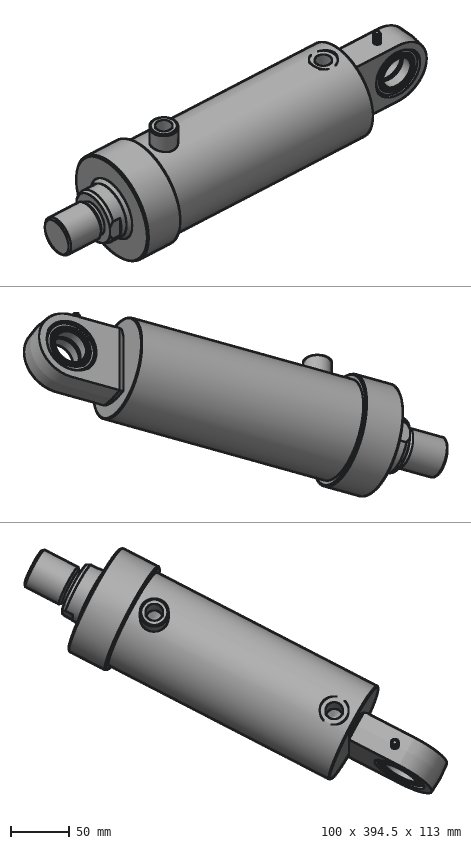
import cadquery as cq
import math


OVERALL_LENGTH = 394.5
EYE_RADIUS = 32.5
ROD_TIP = OVERALL_LENGTH - EYE_RADIUS
BARREL_START = 51.3
COLLAR_START = 265.5
COLLAR_LENGTH = 36.5
COLLAR_END = COLLAR_START + COLLAR_LENGTH
WIPER_LENGTH = 3.5
SHOULDER = 322.5
THREAD_START = 326.0

BARREL_DIAMETER = 90.0
BARREL_RADIUS = BARREL_DIAMETER / 2
BARREL_CHAMFER = 0.8
COLLAR_DIAMETER = 100.0
COLLAR_CHAMFER = 1.0
WIPER_BASE_DIAMETER = 57.2
WIPER_TIP_DIAMETER = 50.5

EYE_WIDTH = 28.0
EYE_DRAFT = 4
WELD_BEVEL_LENGTH = 4.7
WELD_BEVEL_DEPTH = 2.5
EYE_BORE = 48.0

BEARING_WIDTH = 26.0
BEARING_RING_WIDTH = 24.5
BEARING_BORE = 30.0
BEARING_BORE_CHAMFER = 0.8
BEARING_GROOVE_DIAMETER = 30.8
BEARING_GROOVE_WIDTH = 2.5
BALL_FACE_DIAMETER = 35.5
RING_BORE = 39.0
RING_GAP_DEPTH = 2.5
RING_CHAMFER = 1.5

NIPPLE_FROM_EYE = 12.0
NIPPLE_DISC_DIAMETER = 6.7
NIPPLE_STEM_DIAMETER = 3.0
NIPPLE_HEAD_DIAMETER = 4.5
NIPPLE_HEAD_LENGTH = 2.5
NIPPLE_HEIGHT = 10.5
NIPPLE_DISC = 1.0
NIPPLE_SEAT = 1.0
NIPPLE_DISC_PITCH = 3.5
NIPPLE_DISCS = 3

PORT_DIAMETER = 25.0
PORT_HOLE = 15.0
PORT_HOLE_DEPTH = 23.5
DRILL_TIP_ANGLE = 118
REAR_PORT = 70.5
REAR_PORT_FACE = 43.5
FRONT_PORT = 245.0
COLLAR_TO_PORT_TOP = 13.0
FRONT_PORT_FACE = COLLAR_DIAMETER / 2 + COLLAR_TO_PORT_TOP
PORT_CHAMFER = 1.0

ROD_DIAMETER = 50.0
SHOULDER_DIAMETER = 47.0
SHOULDER_TAPER_LENGTH = 3.5
NECK_DIAMETER = 31.5
THREAD_DIAMETER = 36.0
THREAD_CHAMFER = 1.5
THREAD_RUNOUT = (THREAD_DIAMETER - NECK_DIAMETER) / 2
FLAT_SPACING = 46.0
FLAT_LENGTH = 11.0


def rod_cylinder(diameter, start, end):
    """Cylinder on the main axis between two stations."""
    return cq.Workplane("XZ", origin=(0, -start, 0)).circle(diameter / 2).extrude(end - start)


def x_cylinder(diameter, width):
    """Cylinder along X through the eye centre, centred on the eye."""
    return cq.Workplane("YZ").circle(diameter / 2).extrude(width / 2, both=True)


def upright_cylinder(diameter, station, bottom, top):
    """Vertical cylinder over the main axis at a station."""
    return cq.Workplane("XY", origin=(0, -station, bottom)).circle(diameter / 2).extrude(top - bottom)


def barrel_and_collar():
    barrel = rod_cylinder(BARREL_DIAMETER, BARREL_START, COLLAR_START)
    barrel = barrel.faces(">Y").chamfer(BARREL_CHAMFER)
    collar = rod_cylinder(COLLAR_DIAMETER, COLLAR_START, COLLAR_END).faces("<Y or >Y").chamfer(COLLAR_CHAMFER)
    wiper = (
        cq.Workplane("XY")
        .moveTo(0, -COLLAR_END)
        .lineTo(WIPER_BASE_DIAMETER / 2, -COLLAR_END)
        .lineTo(WIPER_TIP_DIAMETER / 2, -COLLAR_END - WIPER_LENGTH)
        .lineTo(0, -COLLAR_END - WIPER_LENGTH)
        .close()
        .revolve(360, (0, 0, 0), (0, 1, 0))
    )
    return barrel.union(collar).union(wiper)


def half_lug(side):
    """Half of the drafted lug, from the middle plane toward +X (side 1) or -X (side -1)."""
    inside_barrel = -BARREL_START - BARREL_RADIUS / 2
    return (
        cq.Workplane("YZ")
        .moveTo(inside_barrel, EYE_RADIUS)
        .lineTo(0, EYE_RADIUS)
        .threePointArc((EYE_RADIUS, 0), (0, -EYE_RADIUS))
        .lineTo(inside_barrel, -EYE_RADIUS)
        .close()
        .extrude(side * EYE_WIDTH / 2, taper=EYE_DRAFT)
    )


def eye():
    """Round-ended drafted lug with a bevelled foot, bored for the bearing."""
    barrel_space = rod_cylinder(BARREL_DIAMETER, BARREL_START, COLLAR_START)
    lug = half_lug(1).union(half_lug(-1)).cut(barrel_space)
    lug = lug.faces("<Y").chamfer(WELD_BEVEL_DEPTH, WELD_BEVEL_LENGTH)
    return lug.cut(x_cylinder(EYE_BORE, EYE_WIDTH))


def grease_nipple():
    seat = EYE_RADIUS - NIPPLE_SEAT
    top = EYE_RADIUS + NIPPLE_HEIGHT
    head_bottom = top - NIPPLE_HEAD_LENGTH
    nipple = upright_cylinder(NIPPLE_STEM_DIAMETER, NIPPLE_FROM_EYE, seat, top)
    nipple = nipple.union(upright_cylinder(NIPPLE_HEAD_DIAMETER, NIPPLE_FROM_EYE, head_bottom, top))
    nipple = nipple.union(upright_cylinder(NIPPLE_DISC_DIAMETER, NIPPLE_FROM_EYE, seat, EYE_RADIUS))
    for i in range(NIPPLE_DISCS):
        bottom = EYE_RADIUS + i * NIPPLE_DISC_PITCH
        disc = upright_cylinder(NIPPLE_DISC_DIAMETER, NIPPLE_FROM_EYE, bottom, bottom + NIPPLE_DISC)
        nipple = nipple.union(disc)
    return nipple


def port_hole(station, face):
    """Blind drilled hole with a conical bottom."""
    radius = PORT_HOLE / 2
    tip = radius / math.tan(math.radians(DRILL_TIP_ANGLE / 2))
    bottom = face - PORT_HOLE_DEPTH
    return (
        cq.Workplane("XZ", origin=(0, -station, 0))
        .moveTo(0, face)
        .lineTo(radius, face)
        .lineTo(radius, bottom)
        .lineTo(0, bottom - tip)
        .close()
        .revolve(360, (0, 0, 0), (0, 1, 0))
    )


def build_housing():
    spot_face = upright_cylinder(PORT_DIAMETER, REAR_PORT, REAR_PORT_FACE, BARREL_RADIUS)
    boss = upright_cylinder(PORT_DIAMETER, FRONT_PORT, 0, FRONT_PORT_FACE).faces(">Z").chamfer(PORT_CHAMFER)
    body = barrel_and_collar().union(eye()).union(grease_nipple()).union(boss).cut(spot_face)
    body = body.cut(port_hole(REAR_PORT, REAR_PORT_FACE)).cut(port_hole(FRONT_PORT, FRONT_PORT_FACE))
    return body.cut(rod_cylinder(ROD_DIAMETER, COLLAR_START, COLLAR_END + WIPER_LENGTH))


def wrench_flats():
    """Material outside the two parallel flats at the end of the shank."""
    shank_end = rod_cylinder(ROD_DIAMETER, SHOULDER - FLAT_LENGTH, SHOULDER)
    between_flats = cq.Workplane("XY").box(FLAT_SPACING, 2 * OVERALL_LENGTH, ROD_DIAMETER)
    return shank_end.cut(between_flats)


def build_rod():
    shank = rod_cylinder(ROD_DIAMETER, COLLAR_START, SHOULDER)
    shank = shank.faces("<Y").chamfer(SHOULDER_TAPER_LENGTH, (ROD_DIAMETER - SHOULDER_DIAMETER) / 2)
    shank = shank.cut(wrench_flats())
    neck = rod_cylinder(NECK_DIAMETER, SHOULDER, THREAD_START)
    thread = rod_cylinder(THREAD_DIAMETER, THREAD_START, ROD_TIP)
    thread = thread.faces("<Y").chamfer(THREAD_CHAMFER).faces(">Y").chamfer(THREAD_RUNOUT)
    return shank.union(neck).union(thread)


def build_bearing():
    ring = x_cylinder(EYE_BORE, BEARING_RING_WIDTH).faces("<X or >X").chamfer(RING_CHAMFER)
    core = x_cylinder(RING_BORE, BEARING_RING_WIDTH - 2 * RING_GAP_DEPTH)
    gaps = x_cylinder(RING_BORE, BEARING_RING_WIDTH).cut(core)
    ball = x_cylinder(BALL_FACE_DIAMETER, BEARING_WIDTH)
    bore = x_cylinder(BEARING_BORE, BEARING_WIDTH)
    groove = x_cylinder(BEARING_GROOVE_DIAMETER, BEARING_GROOVE_WIDTH)
    inner = ball.cut(bore).faces("<X or >X").edges("%CIRCLE").chamfer(BEARING_BORE_CHAMFER)
    return ring.cut(gaps).cut(bore).union(inner).cut(groove)


housing = build_housing()
rod = build_rod()
bearing = build_bearing()
result = cq.Compound.makeCompound([housing.val(), rod.val(), bearing.val()])